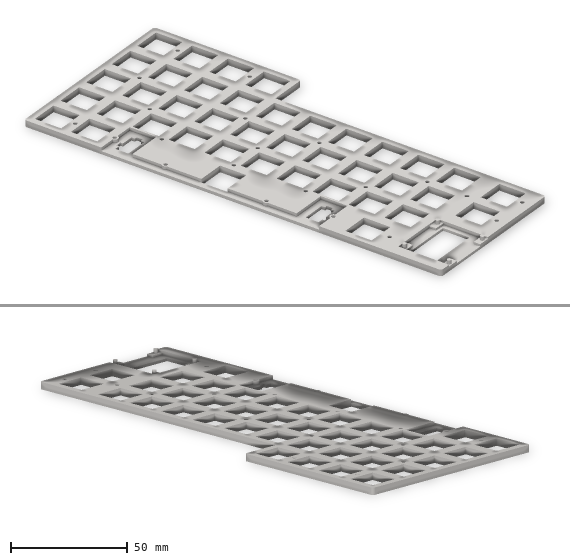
import cadquery as cq
LENGTH = 220.5
DEPTH = 96.5
PLATE_THICKNESS = 3.3
TOTAL_HEIGHT = 4.5
CORNER_RADIUS = 1.3

PITCH = 19.03
KEY_SIZE = 14.0
MARGIN = 3.3
FIRST_KEY_X = MARGIN + KEY_SIZE / 2
FIRST_KEY_Y = DEPTH - FIRST_KEY_X
SIDE_COLUMN = 10.25
SPACE_COLUMN = 4.625
LAST_BOTTOM_COLUMN = 8.625

STEP_X = FIRST_KEY_X + 3 * PITCH + FIRST_KEY_X
STEP_Y = DEPTH - PITCH

HOLE_DIAMETER = 2.0
SHIFTED_HOLE_Y = 56.2
SPACE_HOLES_Y = 21.0
SIDE_HOLE_X = 193.0
BOTTOM_HOLE_X = 185.9
RIGHT_HOLES_X = 215.5

STABILIZER_FLOOR = 1.5
POCKET_HALF_WIDTH = 57.5
STRIP_DEPTH = MARGIN
ARM_WIDTH = 14.1
ARM_END_Y = 21.2
BOSS_RADIUS = 1.8
ARM_BOSS_OFFSET = 57.8
ARM_BOSS_Y = 10.4
STRIP_BOSS_OFFSET = 26.7
STRIP_BOSS_Y = 4.5

HOUSING_OFFSET = 50.3
HOUSING_WIDTH = 6.8
HOUSING_FRONT_Y = 5.0
HOUSING_BACK_Y = 17.0
NOTCH_WIDTH = 3.0
NOTCH_DEPTH = 1.3
TAB_WIDTH = 2.9
TAB_DEPTH = 1.3
TAB_Y = 9.3

DISPLAY_LEFT = 193.5
DISPLAY_FRONT = 5.7
DISPLAY_BACK = 34.6
DISPLAY_FLOOR = 1.3
WINDOW_FRONT = 7.7
WINDOW_BACK = 32.5

PEG_LEFT = 195.4
PEG_RIGHT = 219.0
PEG_FRONT = 8.0
PEG_BACK = 32.6
PEG_DIAMETER = 2.0
PAD_WIDTH = 3.5
PAD_REACH = 3.7
PAD_TOP = 2.5


def column_x(column):
    """Centre of a key column; fractions give places between columns."""
    return FIRST_KEY_X + column * PITCH


def row_y(row):
    """Centre of a key row, counted from the back."""
    return FIRST_KEY_Y - row * PITCH


def block(x0, x1, y0, y1, z0=0, z1=PLATE_THICKNESS):
    """Box between opposite corners."""
    return cq.Workplane("XY").box(x1 - x0, y1 - y0, z1 - z0, centered=False).translate((x0, y0, z0))


def cylinder(x, y, diameter, z0, z1):
    """Upright cylinder between two heights."""
    return cq.Workplane("XY", origin=(x, y, z0)).circle(diameter / 2).extrude(z1 - z0)


CENTER_X = column_x(SPACE_COLUMN)
SIDES = (-1, 1)


def make_blank():
    outline = [(0, 0), (LENGTH, 0), (LENGTH, STEP_Y), (STEP_X, STEP_Y), (STEP_X, DEPTH), (0, DEPTH)]
    rounded_corners = [point for point in outline if point != (STEP_X, STEP_Y)]
    blank = cq.Workplane("XY").polyline(outline).close().extrude(PLATE_THICKNESS)
    for x, y in rounded_corners:
        blank = blank.edges(cq.NearestToPointSelector((x, y, PLATE_THICKNESS / 2))).fillet(CORNER_RADIUS)
    return blank


def cut_keys(plate):
    rows = [
        list(range(4)),
        list(range(10)) + [SIDE_COLUMN],
        list(range(10)) + [SIDE_COLUMN],
        list(range(10)),
        [0, 1, SPACE_COLUMN, LAST_BOTTOM_COLUMN],
    ]
    centers = [(column_x(column), row_y(row)) for row, columns in enumerate(rows) for column in columns]
    keys = cq.Workplane("XY").pushPoints(centers).rect(KEY_SIZE, KEY_SIZE).extrude(PLATE_THICKNESS)
    return plate.cut(keys)


def boss_points():
    """Screw bosses on the walls of the stabilizer pocket."""
    arm = [(CENTER_X + side * ARM_BOSS_OFFSET, ARM_BOSS_Y) for side in SIDES]
    strip = [(CENTER_X + side * STRIP_BOSS_OFFSET, STRIP_BOSS_Y) for side in SIDES]
    return arm + strip


def cut_stabilizer_pocket(plate):
    left = CENTER_X - POCKET_HALF_WIDTH
    right = CENTER_X + POCKET_HALF_WIDTH
    pocket = block(left, right, 0, STRIP_DEPTH, STABILIZER_FLOOR)
    pocket = pocket.union(block(left, left + ARM_WIDTH, 0, ARM_END_Y, STABILIZER_FLOOR))
    pocket = pocket.union(block(right - ARM_WIDTH, right, 0, ARM_END_Y, STABILIZER_FLOOR))
    for x, y in boss_points():
        pocket = pocket.cut(cylinder(x, y, 2 * BOSS_RADIUS, 0, PLATE_THICKNESS))
    return plate.cut(pocket)


def cut_stabilizer_housings(plate):
    """Rectangles with a notch at the back and a tab on the outer side."""
    for side in SIDES:
        x = CENTER_X + side * HOUSING_OFFSET
        tab_x = x + side * TAB_DEPTH
        body = block(x - HOUSING_WIDTH / 2, x + HOUSING_WIDTH / 2, HOUSING_FRONT_Y, HOUSING_BACK_Y)
        notch = block(x - NOTCH_WIDTH / 2, x + NOTCH_WIDTH / 2, HOUSING_FRONT_Y, HOUSING_BACK_Y + NOTCH_DEPTH)
        tab = block(
            tab_x - HOUSING_WIDTH / 2, tab_x + HOUSING_WIDTH / 2,
            TAB_Y - TAB_WIDTH / 2, TAB_Y + TAB_WIDTH / 2,
        )
        plate = plate.cut(body).cut(notch).cut(tab)
    return plate


def cut_screw_holes(plate):
    grid_places = [
        (0.5, 0), (2.5, 0),
        (0.5, 1.5), (5.5, 1.5), (8.5, 1.5),
        (1.5, 2.5), (4.5, 2.5), (7.5, 2.5),
        (0.5, 4),
    ]
    points = [(column_x(column), row_y(row)) for column, row in grid_places]
    points += [(column_x(3.5), SHIFTED_HOLE_Y)]
    points += [(column_x(column), SPACE_HOLES_Y) for column in (2.5, 4.5, 6.5)]
    points += [(SIDE_HOLE_X, row_y(1.5)), (BOTTOM_HOLE_X, row_y(4))]
    points += [(RIGHT_HOLES_X, row_y(row)) for row in (1, 2)]
    points += boss_points()
    holes = cq.Workplane("XY").pushPoints(points).circle(HOLE_DIAMETER / 2).extrude(PLATE_THICKNESS)
    return plate.cut(holes)


def cut_display_pocket(plate):
    window_left = column_x(SIDE_COLUMN) - KEY_SIZE / 2
    pocket = block(DISPLAY_LEFT, LENGTH, DISPLAY_FRONT, DISPLAY_BACK, DISPLAY_FLOOR)
    window = block(window_left, window_left + KEY_SIZE, WINDOW_FRONT, WINDOW_BACK)
    return plate.cut(pocket).cut(window)


def add_display_pegs(plate):
    """Pegs, each on a pad in a corner of the display pocket."""
    for peg_x, pad_x in ((PEG_LEFT, DISPLAY_LEFT), (PEG_RIGHT, LENGTH - PAD_WIDTH)):
        for peg_y in (PEG_FRONT, PEG_BACK):
            pad_front = max(peg_y - PAD_REACH, DISPLAY_FRONT)
            pad_back = min(peg_y + PAD_REACH, DISPLAY_BACK)
            plate = plate.union(block(pad_x, pad_x + PAD_WIDTH, pad_front, pad_back, 0, PAD_TOP))
            plate = plate.union(cylinder(peg_x, peg_y, PEG_DIAMETER, 0, TOTAL_HEIGHT))
    return plate


plate = make_blank()
plate = cut_keys(plate)
plate = cut_stabilizer_pocket(plate)
plate = cut_stabilizer_housings(plate)
plate = cut_screw_holes(plate)
plate = cut_display_pocket(plate)
result = add_display_pegs(plate)